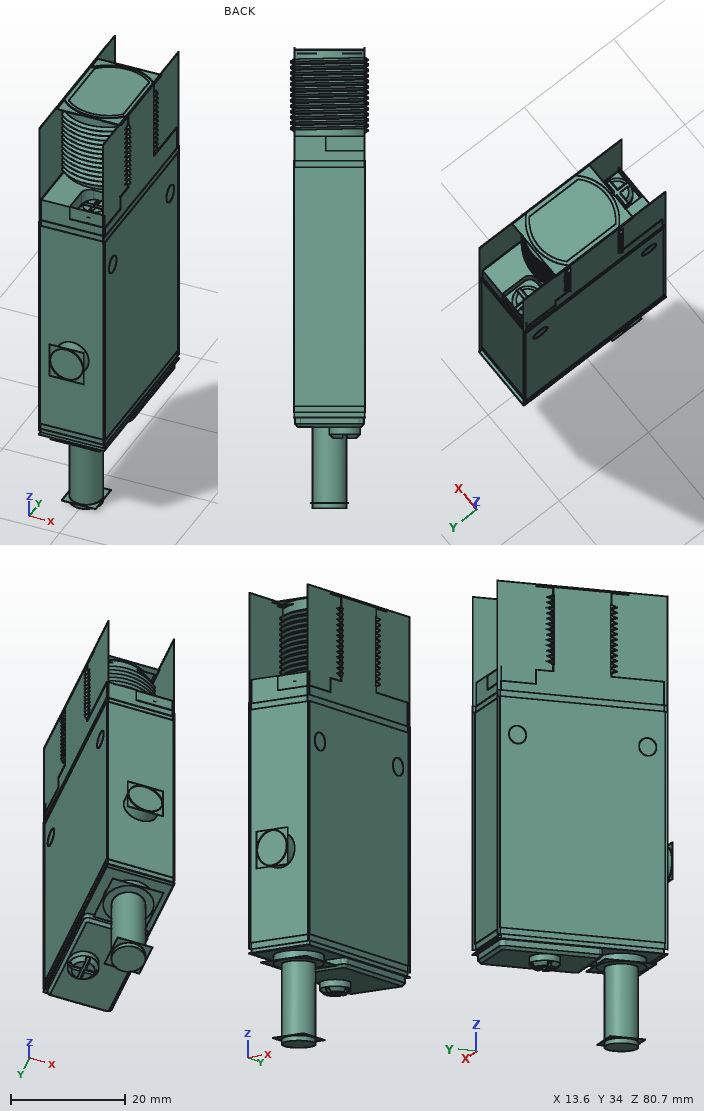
import cadquery as cq


cable_flange_z = 0.9
base_z = 15.9
shell_bottom_z = 17.9
shell_top_z = 59.8
shoulder_z = 65.2
nose_top_z = 80.4
side_plate_top_z = 80.7

sheet = 0.1

relief = 0.04

head_width = 12.4
head_length = 30.5
shell_width = 12.6
shell_length = 30.9
shell_lip = 1.1
shell_lip_length = 30.7
side_plate_length = 31.9

nose_radius = 8.2
thread_radius = 8.95
thread_pitch = 1.0
thread_count = 13
thread_start_z = 66.3
thread_half_angle = 49.6
thread_root_overlap = 0.1
thread_base_height = 0.9
nose_plate_length = 17.3
lens_seat_width = 11.1
lens_seat_length = 15.8

lens_radius = 7.6
lens_width = 10.5
lens_thickness = 0.7

screw_radius = 2.75
screw_height = 1.9
screw_chamfer = 0.7
screw_slot_width = 0.7
screw_slot_depth = 0.65
screw_x = 2.8
screw_y = 12.3
pocket_depth = 2.6
pocket_edge_x = -0.65
pocket_inner_y = 8.7
pocket_corner_radius = 1.6

mount_diameter = 3.2
mount_y = 12.2
mount_z = 53.1
mount_depth = 0.1

button_radius = 3.15
button_z = 33.7
overall_length = 34.0
button_end_y = side_plate_length / 2 - overall_length
button_flange_size = 6.6

cable_y = -9.6
cable_radius = 3.0
cable_flange_size = 6.5
collar_radius = 4.4
collar_height = 1.5
collar_flange_size = 9.5

cover_width = 12.1
cover_back_y = 15.25
cover_front_y = -4.0
cover_height = 1.7
cover_corner_radius = 0.9
cover_chamfer = 0.6
cover_screw_x = -2.7
cover_screw_y = 5.7


def block(width, length, bottom_z, top_z, x=0, y=0):
    """Box centred on (x, y) that spans the given heights."""
    box = cq.Workplane("XY").box(width, length, top_z - bottom_z, centered=(True, True, False))
    return box.translate((x, y, bottom_z))


def rod(radius, bottom_z, top_z, x=0, y=0):
    """Vertical cylinder that spans the given heights."""
    return cq.Workplane("XY").circle(radius).extrude(top_z - bottom_z).translate((x, y, bottom_z))


def flattened_rod(radius, width, bottom_z, top_z):
    """Cylinder on the Z axis with two flats facing +X and -X."""
    return rod(radius, bottom_z, top_z).intersect(block(width, 2 * radius, bottom_z, top_z))


def adjuster_screw():
    """Screw head standing on Z = 0, with a conical rim and a cross slot."""
    head = rod(screw_radius, 0, screw_height).faces(">Z").chamfer(screw_chamfer)
    slot_floor = screw_height - screw_slot_depth
    slot = block(2 * screw_radius, screw_slot_width, slot_floor, screw_height)
    return head.cut(slot).cut(slot.rotate((0, 0, 0), (0, 0, 1), 90))


def half_turn(shape):
    """The same shape on the opposite side of the Z axis."""
    return shape.rotate((0, 0, 0), (0, 0, 1), 180)


def thread_ridge():
    """One helical ridge on the -Y side of the nose, mid-height at Z = 0."""
    turn_angle = 2 * thread_half_angle
    rise = thread_pitch * turn_angle / 360
    path = cq.Wire.makeHelix(thread_pitch, rise, nose_radius)
    root = nose_radius - thread_root_overlap
    half_base = thread_base_height / 2
    ridge = (
        cq.Workplane("XZ")
        .polyline([(root, -half_base), (thread_radius, 0), (root, half_base)])
        .close()
        .sweep(cq.Workplane(path), isFrenet=True)
    )
    start_angle = -90 - thread_half_angle
    return ridge.translate((0, 0, -rise / 2)).rotate((0, 0, 0), (0, 0, 1), start_angle)


def build_blocks():
    """Head, shell with its end lips, and base, stacked into one body."""
    body = block(head_width, head_length, base_z, shoulder_z)
    lip_bottom = shell_bottom_z - shell_lip
    lip_top = shell_top_z + shell_lip
    lip_width = shell_width - 2 * relief
    body = body.union(block(lip_width, shell_lip_length, lip_bottom, lip_top))
    body = body.union(block(shell_width, shell_length, shell_bottom_z, shell_top_z))
    body = body.union(block(shell_width, side_plate_length, base_z, base_z + sheet))
    for side in (-1, 1):
        shell_plate_x = side * (lip_width - sheet) / 2
        body = body.union(block(sheet, side_plate_length, lip_bottom, lip_top, shell_plate_x))
    return body


def build_head_plates():
    """Two thin plates that rise from the shell along the flats of the nose."""
    plate_x = (head_width - sheet) / 2 - relief
    plate = block(sheet, side_plate_length, shell_top_z, side_plate_top_z, plate_x)
    return plate.union(plate.mirror("YZ"))


def build_end_plates():
    """Two thin plates that close the outer ends of the shoulder pockets."""
    plate_y = (head_length - sheet) / 2 - relief
    plate = block(head_width - 2 * relief, sheet, shoulder_z - pocket_depth, shoulder_z, y=plate_y)
    return plate.union(half_turn(plate))


def build_nose():
    """Flattened nose with its thread, top plate, lens seat plate and lens recess."""
    nose = flattened_rod(nose_radius, head_width, shoulder_z, nose_top_z)
    for index in range(thread_count):
        ridge = thread_ridge().translate((0, 0, thread_start_z + index * thread_pitch))
        opposite = half_turn(ridge).translate((0, 0, thread_pitch / 2))
        nose = nose.union(ridge).union(opposite)
    plate_top = nose_top_z - sheet
    nose = nose.union(block(head_width, nose_plate_length, plate_top - sheet, plate_top))
    seat_z = nose_top_z - lens_thickness
    nose = nose.union(block(lens_seat_width, lens_seat_length, seat_z - sheet, seat_z))
    return nose.cut(build_lens())


def build_lens():
    """Flattened disc flush with the top of the nose."""
    return flattened_rod(lens_radius, lens_width, nose_top_z - lens_thickness, nose_top_z)


def build_pocket():
    """Corner pocket in the +X, -Y part of the shoulder, open to the outside."""
    floor_z = shoulder_z - pocket_depth
    width = head_width / 2 - pocket_edge_x
    length = head_length / 2 - pocket_inner_y
    x = pocket_edge_x + width / 2
    y = -pocket_inner_y - length / 2
    pocket = block(width, length, floor_z, shoulder_z, x, y)
    return pocket.edges("|Z and <X and >Y").fillet(pocket_corner_radius)


def build_mount_recesses():
    """Four shallow discs to cut from the -X and +X faces of the shell."""
    recesses = (
        cq.Workplane("YZ", origin=(shell_width / 2 - mount_depth, 0, 0))
        .pushPoints([(-mount_y, mount_z), (mount_y, mount_z)])
        .circle(mount_diameter / 2)
        .extrude(mount_depth)
    )
    return recesses.union(recesses.mirror("YZ"))


def build_button():
    """Round button on the -Y face, with a thin square plate just behind its end."""
    start_y = -head_length / 2
    button = cq.Workplane("XZ", origin=(0, start_y, button_z)).circle(button_radius)
    button = button.extrude(start_y - button_end_y)
    flange_y = button_end_y + sheet + sheet / 2
    flange = cq.Workplane("XY").box(button_flange_size, sheet, button_flange_size)
    return button.union(flange.translate((0, flange_y, button_z)))


def build_cable():
    """Cable and collar under the base, each with a thin square plate near its lower end."""
    collar_z = base_z - collar_height
    cable = rod(cable_radius, 0, base_z, y=cable_y)
    cable = cable.union(rod(collar_radius, collar_z, base_z, y=cable_y))
    for size, z in ((cable_flange_size, cable_flange_z), (collar_flange_size, collar_z)):
        cable = cable.union(block(size, size, z, z + sheet, y=cable_y))
    return cable


def build_cover():
    """Rounded cover plate under the base with an adjuster screw facing down."""
    bottom_z = base_z - cover_height
    length = cover_back_y - cover_front_y
    middle_y = (cover_back_y + cover_front_y) / 2
    cover = block(cover_width, length, bottom_z, base_z, y=middle_y)
    cover = cover.edges("|Z").fillet(cover_corner_radius).faces("<Z").chamfer(cover_chamfer)
    screw = adjuster_screw().rotate((0, 0, 0), (1, 0, 0), 180)
    return cover.union(screw.translate((cover_screw_x, cover_screw_y, bottom_z)))


def build_housing():
    """Everything but the lens, as one solid."""
    body = build_blocks()
    pocket = build_pocket()
    screw = adjuster_screw().translate((screw_x, -screw_y, shoulder_z - pocket_depth))
    body = body.cut(pocket).cut(half_turn(pocket))
    body = body.union(screw).union(half_turn(screw))
    for part in (build_nose(), build_head_plates(), build_end_plates()):
        body = body.union(part)
    for part in (build_button(), build_cable(), build_cover()):
        body = body.union(part)
    return body.cut(build_mount_recesses())


housing = build_housing()
lens = build_lens()
result = cq.Compound.makeCompound([housing.val(), lens.val()])